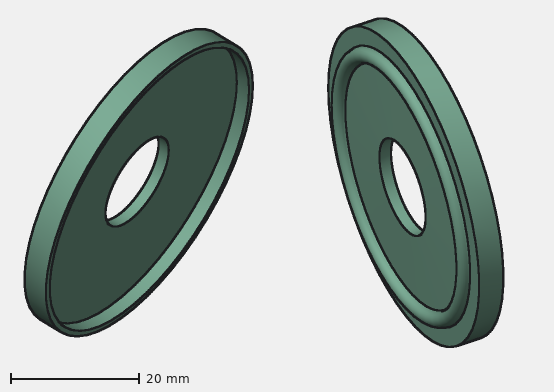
import cadquery as cq

outer_diameter = 52.5
bore_diameter = 16.0
total_thickness = 5.8
disc_thickness = 4.25

bore_length = 2.05
cone_rise = 0.2
recess_diameter = 50.5

ring_outer_diameter = 46.0
ring_inner_diameter = 40.75
foot_height = 0.3
foot_flare = 0.1

outer_radius = outer_diameter / 2
bore_radius = bore_diameter / 2
recess_radius = recess_diameter / 2
ring_outer_radius = ring_outer_diameter / 2
ring_inner_radius = ring_inner_diameter / 2
ring_middle_radius = (ring_outer_radius + ring_inner_radius) / 2
foot_outer_radius = ring_outer_radius + foot_flare
foot_inner_radius = ring_inner_radius - foot_flare

crest_x = -total_thickness / 2
back_x = total_thickness / 2
face_x = back_x - disc_thickness
foot_top_x = face_x - foot_height
bore_front_x = face_x - cone_rise
recess_floor_x = bore_front_x + bore_length

section = (
    cq.Workplane("XY")
    .moveTo(bore_front_x, bore_radius)
    .lineTo(recess_floor_x, bore_radius)
    .lineTo(recess_floor_x, recess_radius)
    .lineTo(back_x, recess_radius)
    .lineTo(back_x, outer_radius)
    .lineTo(face_x, outer_radius)
    .lineTo(face_x, foot_outer_radius)
    .lineTo(foot_top_x, ring_outer_radius)
    .threePointArc((crest_x, ring_middle_radius), (foot_top_x, ring_inner_radius))
    .lineTo(face_x, foot_inner_radius)
    .close()
)

result = section.revolve(360, (0, 0, 0), (1, 0, 0))